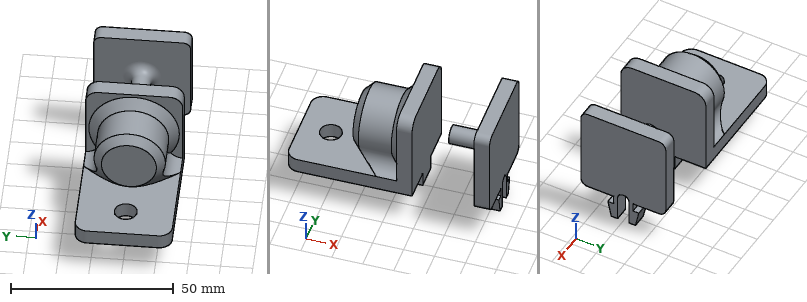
import cadquery as cq
import math

width = 30.0
wall = 5.0
total_length = 66.0
plate_height = width
axis_height = plate_height / 2

bracket_length = 41.0
bracket_corner_radius = 4.0
wall_face_x = bracket_length - wall
mount_hole_diameter = 7.0
mount_hole_x = 10.0
foot_length = 12.15
foot_width = 8.25
foot_height = 5.0

boss_radius = 11.0
boss_length = 16.1
boss_chamfer = 2.5
flare = 3.0
blend_radius = 5.0
boss_tip_x = wall_face_x - boss_length

pin_plate_corner_radius = 2.5
pin_plate_x = total_length - wall
pin_diameter = 6.0
pin_length = 12.0
pin_root_radius = 3.0

leg_drop = 8.65
leg_slot_width = 4.0
leg_outer_y = 3.4
barb_drop = 3.0
barb_top_y = 5.5
barb_tip_y = 4.3


def block(x_start, length, block_width, z_start, height):
    """Box centred on Y = 0, starting at the given X and Z."""
    return (
        cq.Workplane("XY")
        .box(length, block_width, height, centered=(False, True, False))
        .translate((x_start, 0, z_start))
    )


def revolve_about_boss_axis(profile):
    """Revolve an (X, radius) profile around the axis shared by the boss and the pin."""
    return profile.close().revolve(360, (0, 0, 0), (1, 0, 0)).translate((0, 0, axis_height))


def make_boss():
    """Chamfered cylinder with a conical flare where it meets the wall."""
    profile = (
        cq.Workplane("XY")
        .moveTo(boss_tip_x, 0)
        .lineTo(boss_tip_x, boss_radius - boss_chamfer)
        .lineTo(boss_tip_x + boss_chamfer, boss_radius)
        .lineTo(wall_face_x - flare, boss_radius)
        .lineTo(wall_face_x, boss_radius + flare)
        .lineTo(wall_face_x, 0)
    )
    return revolve_about_boss_axis(profile)


def make_boss_blend():
    """Concave fillets from boss to base, cut at the front by the boss chamfer cone."""
    center_distance = boss_radius + blend_radius
    center_z = wall + blend_radius
    center_y = math.sqrt(center_distance**2 - (axis_height - center_z) ** 2)
    boss_share = boss_radius / center_distance
    touch_y = center_y * boss_share
    touch_z = axis_height + (center_z - axis_height) * boss_share
    boss_angle = math.atan2(touch_z - center_z, touch_y - center_y) % (2 * math.pi)
    middle_angle = (boss_angle + 1.5 * math.pi) / 2
    middle_y = center_y + blend_radius * math.cos(middle_angle)
    middle_z = center_z + blend_radius * math.sin(middle_angle)
    prism = (
        cq.Workplane("YZ", origin=(boss_tip_x, 0, 0))
        .moveTo(-center_y, wall)
        .threePointArc((-middle_y, middle_z), (-touch_y, touch_z))
        .lineTo(touch_y, touch_z)
        .threePointArc((middle_y, middle_z), (center_y, wall))
        .close()
        .extrude(boss_length)
    )
    tip_radius = boss_radius - boss_chamfer
    cone_profile = (
        cq.Workplane("XY")
        .moveTo(boss_tip_x, 0)
        .lineTo(boss_tip_x, tip_radius)
        .lineTo(wall_face_x, tip_radius + boss_length)
        .lineTo(wall_face_x, 0)
    )
    base_limits = block(0, bracket_length, width, 0, plate_height)
    return prism.intersect(revolve_about_boss_axis(cone_profile)).intersect(base_limits)


def make_bracket():
    """L-shaped bracket with a mounting hole, a foot and the blended boss."""
    base = block(0, bracket_length, width, 0, wall)
    base = base.edges("|Z and <X").fillet(bracket_corner_radius)
    upright = block(wall_face_x, wall, width, 0, plate_height)
    upright = upright.edges("|X and >Z").fillet(bracket_corner_radius)
    foot = block(bracket_length - foot_length, foot_length, foot_width, -foot_height, foot_height)
    mount_hole = (
        cq.Workplane("XY").center(mount_hole_x, 0).circle(mount_hole_diameter / 2).extrude(wall)
    )
    blended_boss = make_boss().union(make_boss_blend())
    return base.cut(mount_hole).union(upright).union(foot).union(blended_boss).clean()


def make_pin():
    """Pin with a concave root that widens into the plate."""
    pin_radius = pin_diameter / 2
    root_x = pin_plate_x - pin_root_radius
    arc_inset = pin_root_radius * math.sqrt(0.5)
    profile = (
        cq.Workplane("XY")
        .moveTo(pin_plate_x - pin_length, 0)
        .lineTo(pin_plate_x - pin_length, pin_radius)
        .lineTo(root_x, pin_radius)
        .threePointArc(
            (root_x + arc_inset, pin_radius + pin_root_radius - arc_inset),
            (pin_plate_x, pin_radius + pin_root_radius),
        )
        .lineTo(pin_plate_x, 0)
    )
    return revolve_about_boss_axis(profile)


def make_snap_leg(side):
    """Barbed leg on the +Y (side = 1) or -Y (side = -1) half."""
    slot_y = leg_slot_width / 2
    outline = [
        (side * slot_y, 0),
        (side * leg_outer_y, 0),
        (side * leg_outer_y, -barb_drop),
        (side * barb_top_y, -barb_drop),
        (side * barb_tip_y, -leg_drop),
        (side * slot_y, -leg_drop),
    ]
    return cq.Workplane("YZ", origin=(pin_plate_x, 0, 0)).polyline(outline).close().extrude(wall)


def make_leg_slot():
    """Round cut that carries the gap between the legs up into the plate."""
    return cq.Workplane("YZ", origin=(pin_plate_x, 0, 0)).circle(leg_slot_width / 2).extrude(wall)


def make_pin_plate():
    """Rounded plate carrying the pin and two snap legs."""
    plate = block(pin_plate_x, wall, width, 0, plate_height)
    plate = plate.edges("|X").fillet(pin_plate_corner_radius)
    plate = plate.cut(make_leg_slot()).union(make_pin())
    for side in (-1, 1):
        plate = plate.union(make_snap_leg(side))
    return plate


bracket = make_bracket()
pin_plate = make_pin_plate()
result = cq.Compound.makeCompound([bracket.val(), pin_plate.val()])